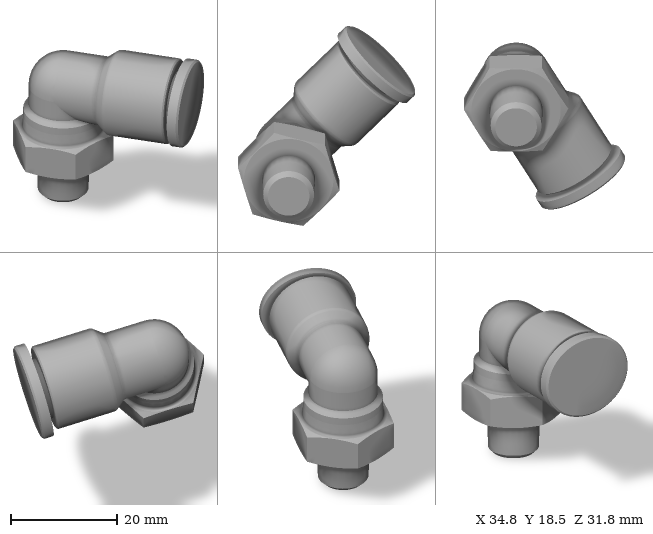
import cadquery as cq
import math


total_height = 31.75
port_end_x = 25.0

stub_length = 8.0
stub_top_radius = 5.0
stub_taper = 1 / 32
stub_chamfer = 0.87

hex_across_flats = 17.0
hex_height = 6.5
hex_chamfer_start_radius = 8.4
hex_chamfer_angle = 20.0

base_radius = 7.5
base_root_radius = 7.68
base_root_blend = 0.43
base_cone_height = 2.55
base_straight_height = 1.5
base_chamfer = 1.0

elbow_radius = 6.5
body_radius = 8.15
cone_start_x = 7.98
cone_end_x = 10.05
cone_blend_radius = 1.0
body_end_x = 21.8
body_end_chamfer = 0.28

neck_radius = 5.85
collar_width = 18.5
collar_height = 16.0
collar_thickness = 2.1
collar_chamfer = 0.35

hex_top_z = stub_length + hex_height
hex_corner_radius = hex_across_flats / 2 / math.cos(math.radians(30))
port_axis_z = total_height - body_radius


def make_stub():
    """Tapered stub with a 45 degree chamfer at its lower end."""
    tip_radius = stub_top_radius - stub_taper * (stub_length - stub_chamfer)
    return (
        cq.Workplane("XZ")
        .moveTo(0, 0)
        .lineTo(tip_radius - stub_chamfer, 0)
        .lineTo(tip_radius, stub_chamfer)
        .lineTo(stub_top_radius, stub_length)
        .lineTo(0, stub_length)
        .close()
        .revolve(360, (0, 0), (0, 1))
    )


def make_hexagon():
    """Hexagon with corners on the X axis, its corners turned off conically at both ends."""
    prism = (
        cq.Workplane("XY", origin=(0, 0, stub_length))
        .polygon(6, 2 * hex_corner_radius)
        .extrude(hex_height)
    )
    corner_drop = (hex_corner_radius - hex_chamfer_start_radius) * math.tan(math.radians(hex_chamfer_angle))
    turned_blank = (
        cq.Workplane("XZ")
        .moveTo(0, stub_length)
        .lineTo(hex_chamfer_start_radius, stub_length)
        .lineTo(hex_corner_radius, stub_length + corner_drop)
        .lineTo(hex_corner_radius, hex_top_z - corner_drop)
        .lineTo(hex_chamfer_start_radius, hex_top_z)
        .lineTo(0, hex_top_z)
        .close()
        .revolve(360, (0, 0), (0, 1))
    )
    return prism.intersect(turned_blank)


def make_base():
    """Round base: concave blend onto the hexagon, slight cone, straight band and top chamfer."""
    cone_top_z = hex_top_z + base_cone_height
    straight_top_z = cone_top_z + base_straight_height
    return (
        cq.Workplane("XZ")
        .moveTo(0, hex_top_z)
        .lineTo(base_root_radius + base_root_blend, hex_top_z)
        .radiusArc((base_root_radius, hex_top_z + base_root_blend), base_root_blend)
        .lineTo(base_radius, cone_top_z)
        .lineTo(base_radius, straight_top_z)
        .lineTo(base_radius - base_chamfer, straight_top_z + base_chamfer)
        .lineTo(0, straight_top_z + base_chamfer)
        .close()
        .revolve(360, (0, 0), (0, 1))
    )


def make_elbow():
    """Upright leg with a ball at the corner, where the port leg starts."""
    leg = (
        cq.Workplane("XY", origin=(0, 0, hex_top_z))
        .circle(elbow_radius)
        .extrude(port_axis_z - hex_top_z)
    )
    ball = cq.Workplane("XY").sphere(elbow_radius).translate((0, 0, port_axis_z))
    return leg.union(ball)


def make_port_body():
    """Port leg widening through a blended cone to the port body."""
    body = (
        cq.Workplane("XZ", origin=(0, 0, port_axis_z))
        .moveTo(0, 0)
        .lineTo(0, elbow_radius)
        .lineTo(cone_start_x, elbow_radius)
        .lineTo(cone_end_x, body_radius)
        .lineTo(body_end_x, body_radius)
        .lineTo(body_end_x, 0)
        .close()
        .revolve(360, (0, 0), (1, 0))
    )

    def rim(x, radius):
        """Selector for the circular edge of the given radius at the given X."""
        margin = cone_blend_radius / 10
        return cq.selectors.BoxSelector(
            (x - margin, -radius, port_axis_z - radius),
            (x + margin, radius, port_axis_z + radius),
        )

    body = body.edges(rim(cone_start_x, elbow_radius)).fillet(cone_blend_radius)
    body = body.edges(rim(cone_end_x, body_radius)).fillet(cone_blend_radius)
    return body.faces(">X").edges().chamfer(body_end_chamfer)


def make_collar():
    """Round neck and elliptical collar with a chamfered outer rim."""
    collar_start_x = port_end_x - collar_thickness
    neck = (
        cq.Workplane("YZ", origin=(body_end_x, 0, port_axis_z))
        .circle(neck_radius)
        .extrude(collar_start_x - body_end_x)
    )
    collar = (
        cq.Workplane("YZ", origin=(collar_start_x, 0, port_axis_z))
        .ellipse(collar_width / 2, collar_height / 2)
        .extrude(collar_thickness)
        .faces(">X")
        .edges()
        .chamfer(collar_chamfer)
    )
    return neck.union(collar)


result = (
    make_stub()
    .union(make_hexagon())
    .union(make_base())
    .union(make_elbow())
    .union(make_port_body())
    .union(make_collar())
)